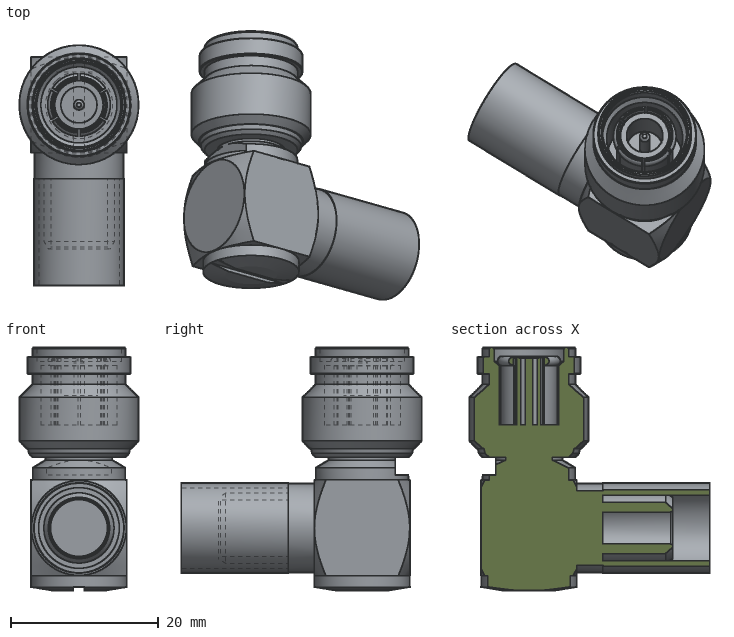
import cadquery as cq
import math


BLOCK_SIZE = 13.0
BLOCK_HALF = BLOCK_SIZE / 2
CORNER_CONE_RADIUS = 6.42
CORNER_CONE_ANGLE = 30.0

CAP_STEP_Z = -8.0
CAP_BOTTOM_Z = -8.5
CAP_FLAT_RADIUS = 3.5
CAP_SLOT_WIDTH = 1.5

COLLAR_RADIUS = 6.3
COLLAR_TOP_Z = 8.15
NECK_RADIUS = 4.55
NECK_BASE_Z = 9.2
NECK_FLAT_Y = 4.5
NECK_FLAT_BOTTOM_Z = 7.2

NUT_BOTTOM_Z = 9.56
NUT_TOP_Z = 24.5
NUT_RADIUS = 8.1
NUT_GRIP_BOTTOM_Z = 11.8
NUT_GRIP_TOP_Z = 17.7
NUT_SLEEVE_RADIUS = 6.33
NUT_SHOULDER_Z = 19.45
NUT_RIM_CHAMFER_RADIAL = 0.18
NUT_RIM_CHAMFER_HEIGHT = 0.24
NUT_LOWER_CONE_RADIUS = 7.1
RETAINER_TOP_Z = 10.75
RETAINER_TOP_RADIUS = 6.95
RETAINER_EDGE_Z = 10.1
RETAINER_EDGE_RADIUS = 6.8
RETAINER_BOTTOM_RADIUS = 6.3

BAND_RADIUS = 7.0
BAND_BOTTOM_Z = 20.85
BAND_TOP_Z = 23.2
BAND_CHAMFER = 0.1

NUT_MOUTH_RADIUS = 5.7
NUT_MOUTH_CHAMFER = 0.2
NUT_SEAT_TOP_Z = 22.6
NUT_SEAT_BOTTOM_Z = 22.05
NUT_BORE_RADIUS = 5.15
NUT_FLOOR_Z = 14.0

FINGER_SLEEVE_RADIUS = 3.82
FINGER_TOP_Z = 23.25
FINGER_BULGE_RADIUS = 4.25
FINGER_BULGE_HEIGHT = 1.3
FINGER_RIM_INNER_RADIUS = 3.62
FINGER_BORE_RADIUS = 3.4
FINGER_INNER_CHAMFER_Z = 23.0
FINGER_COUNT = 6
FINGER_SLOT_WIDTH = 0.35

INSULATOR_RADIUS = 3.27
INSULATOR_TOP_Z = 23.05
INSULATOR_BORE_RADIUS = 2.45
INSULATOR_FLOOR_Z = 18.0
PIN_RADIUS = 0.7
PIN_SHOULDER_Z = 22.4
PIN_TIP_Z = 22.8
PIN_TIP_RADIUS = 0.3

STUB_RADIUS = 6.05
STUB_END = 10.0
FERRULE_RADIUS = 6.12
FERRULE_BORE_RADIUS = 5.47
FERRULE_END = 24.5
POST_RADIUS = 4.76
POST_TIP_RADIUS = 4.16
POST_TAPER_START = 18.5
POST_END = 19.5
POST_BORE_RADIUS = 3.85
POST_MOUTH_RADIUS = 3.95
POST_MOUTH_DEPTH = 0.3


def revolve_about_z(profile):
    """Solid of revolution from a closed (radius, z) profile."""
    return cq.Workplane("XZ").polyline(profile).close().revolve(360, (0, 0, 0), (0, 1, 0))


def revolve_about_y(profile):
    """Solid of revolution from a closed (radius, distance toward -Y) profile."""
    points = [(radius, -distance) for radius, distance in profile]
    return cq.Workplane("XY").polyline(points).close().revolve(360, (0, 0, 0), (0, 1, 0))


def make_block():
    """Cube whose front and back corners are trimmed by cones about the Y axis."""
    cube = cq.Workplane("XY").box(BLOCK_SIZE, BLOCK_SIZE, BLOCK_SIZE)
    wide_radius = CORNER_CONE_RADIUS + BLOCK_HALF / math.tan(math.radians(CORNER_CONE_ANGLE))
    double_cone = revolve_about_y([
        (0, -BLOCK_HALF),
        (CORNER_CONE_RADIUS, -BLOCK_HALF),
        (wide_radius, 0),
        (CORNER_CONE_RADIUS, BLOCK_HALF),
        (0, BLOCK_HALF),
    ])
    return cube.intersect(double_cone)


def make_cap():
    """Round bottom cap with a shallow cone and a driver slot along Y."""
    cap = revolve_about_z([
        (0, -BLOCK_HALF),
        (BLOCK_HALF, -BLOCK_HALF),
        (BLOCK_HALF, CAP_STEP_Z),
        (CAP_FLAT_RADIUS, CAP_BOTTOM_Z),
        (0, CAP_BOTTOM_Z),
    ])
    slot_depth = CAP_STEP_Z - CAP_BOTTOM_Z
    slot = (
        cq.Workplane("XY", origin=(0, 0, CAP_BOTTOM_Z))
        .rect(CAP_SLOT_WIDTH, BLOCK_SIZE)
        .extrude(slot_depth)
    )
    return cap.cut(slot)


def make_neck():
    """Collar tapering into the neck, with a flat across the back."""
    neck = revolve_about_z([
        (0, BLOCK_HALF),
        (COLLAR_RADIUS, BLOCK_HALF),
        (COLLAR_RADIUS, COLLAR_TOP_Z),
        (NECK_RADIUS, NECK_BASE_Z),
        (NECK_RADIUS, NUT_BOTTOM_Z),
        (0, NUT_BOTTOM_Z),
    ])
    flat_depth = COLLAR_RADIUS - NECK_FLAT_Y
    flat_height = NUT_BOTTOM_Z - NECK_FLAT_BOTTOM_Z
    flat = cq.Workplane("XY").box(
        2 * COLLAR_RADIUS, flat_depth, flat_height, centered=(True, False, False)
    ).translate((0, NECK_FLAT_Y, NECK_FLAT_BOTTOM_Z))
    return neck.cut(flat)


def make_nut():
    """Coupling nut with its retaining ring and stepped mouth."""
    nut = revolve_about_z([
        (0, NUT_BOTTOM_Z),
        (RETAINER_BOTTOM_RADIUS, NUT_BOTTOM_Z),
        (RETAINER_EDGE_RADIUS, RETAINER_EDGE_Z),
        (RETAINER_TOP_RADIUS, RETAINER_TOP_Z),
        (NUT_LOWER_CONE_RADIUS, RETAINER_TOP_Z),
        (NUT_RADIUS, NUT_GRIP_BOTTOM_Z),
        (NUT_RADIUS, NUT_GRIP_TOP_Z),
        (NUT_SLEEVE_RADIUS, NUT_SHOULDER_Z),
        (NUT_SLEEVE_RADIUS, NUT_TOP_Z - NUT_RIM_CHAMFER_HEIGHT),
        (NUT_SLEEVE_RADIUS - NUT_RIM_CHAMFER_RADIAL, NUT_TOP_Z),
        (NUT_MOUTH_RADIUS + NUT_MOUTH_CHAMFER, NUT_TOP_Z),
        (NUT_MOUTH_RADIUS, NUT_TOP_Z - NUT_MOUTH_CHAMFER),
        (NUT_MOUTH_RADIUS, NUT_SEAT_TOP_Z),
        (NUT_BORE_RADIUS, NUT_SEAT_BOTTOM_Z),
        (NUT_BORE_RADIUS, NUT_FLOOR_Z),
        (0, NUT_FLOOR_Z),
    ])
    embedded_radius = (NUT_MOUTH_RADIUS + NUT_SLEEVE_RADIUS) / 2
    band = revolve_about_z([
        (embedded_radius, BAND_BOTTOM_Z),
        (BAND_RADIUS - BAND_CHAMFER, BAND_BOTTOM_Z),
        (BAND_RADIUS, BAND_BOTTOM_Z + BAND_CHAMFER),
        (BAND_RADIUS, BAND_TOP_Z - BAND_CHAMFER),
        (BAND_RADIUS - BAND_CHAMFER, BAND_TOP_Z),
        (embedded_radius, BAND_TOP_Z),
    ])
    return nut.union(band)


def make_fingers():
    """Tube with a bulged, chamfered rim, split into equal spring fingers."""
    bulge_bottom_z = FINGER_TOP_Z - FINGER_BULGE_HEIGHT
    bulge_middle_z = FINGER_TOP_Z - FINGER_BULGE_HEIGHT / 2
    fingers = (
        cq.Workplane("XZ")
        .moveTo(FINGER_BORE_RADIUS, NUT_FLOOR_Z)
        .lineTo(FINGER_SLEEVE_RADIUS, NUT_FLOOR_Z)
        .lineTo(FINGER_SLEEVE_RADIUS, bulge_bottom_z)
        .threePointArc((FINGER_BULGE_RADIUS, bulge_middle_z), (FINGER_SLEEVE_RADIUS, FINGER_TOP_Z))
        .lineTo(FINGER_RIM_INNER_RADIUS, FINGER_TOP_Z)
        .lineTo(FINGER_BORE_RADIUS, FINGER_INNER_CHAMFER_Z)
        .close()
        .revolve(360, (0, 0, 0), (0, 1, 0))
    )
    slot_height = FINGER_TOP_Z - NUT_FLOOR_Z
    slot = cq.Workplane("XY").box(
        FINGER_SLOT_WIDTH, NUT_BORE_RADIUS, slot_height, centered=(True, False, False)
    ).translate((0, 0, NUT_FLOOR_Z))
    for index in range(FINGER_COUNT):
        angle = index * 360 / FINGER_COUNT
        fingers = fingers.cut(slot.rotate((0, 0, 0), (0, 0, 1), angle))
    return fingers


def make_insulator_and_pin():
    """Insulator cup with the pointed centre pin standing on its floor."""
    return revolve_about_z([
        (0, NUT_FLOOR_Z),
        (INSULATOR_RADIUS, NUT_FLOOR_Z),
        (INSULATOR_RADIUS, INSULATOR_TOP_Z),
        (INSULATOR_BORE_RADIUS, INSULATOR_TOP_Z),
        (INSULATOR_BORE_RADIUS, INSULATOR_FLOOR_Z),
        (PIN_RADIUS, INSULATOR_FLOOR_Z),
        (PIN_RADIUS, PIN_SHOULDER_Z),
        (PIN_TIP_RADIUS, PIN_TIP_Z),
        (0, PIN_TIP_Z),
    ])


def make_crimp_side():
    """Stub, outer crimp ferrule and the hollow tapered post inside it."""
    return revolve_about_y([
        (0, BLOCK_HALF),
        (STUB_RADIUS, BLOCK_HALF),
        (STUB_RADIUS, STUB_END),
        (FERRULE_RADIUS, STUB_END),
        (FERRULE_RADIUS, FERRULE_END),
        (FERRULE_BORE_RADIUS, FERRULE_END),
        (FERRULE_BORE_RADIUS, STUB_END),
        (POST_RADIUS, STUB_END),
        (POST_RADIUS, POST_TAPER_START),
        (POST_TIP_RADIUS, POST_END),
        (POST_MOUTH_RADIUS, POST_END),
        (POST_BORE_RADIUS, POST_END - POST_MOUTH_DEPTH),
        (POST_BORE_RADIUS, STUB_END),
        (0, STUB_END),
    ])


result = (
    make_block()
    .union(make_cap())
    .union(make_neck())
    .union(make_nut())
    .union(make_fingers())
    .union(make_insulator_and_pin())
    .union(make_crimp_side())
)